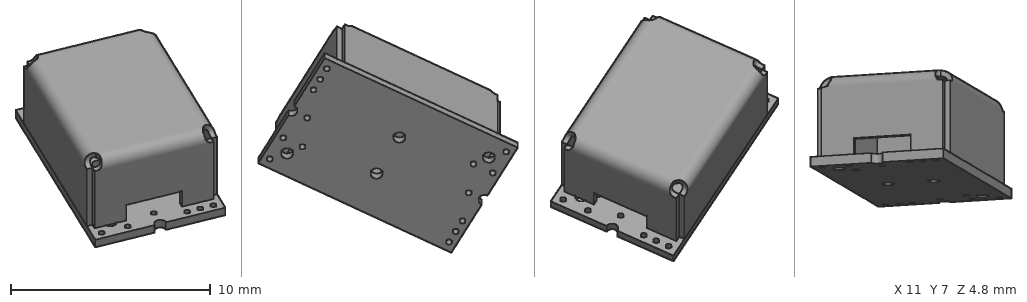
import cadquery as cq

BOARD_LENGTH = 11.0
BOARD_WIDTH = 7.0
BOARD_THICKNESS = 0.5
EDGE_NOTCH_DIAMETER = 0.6

HOLE_DIAMETER = 0.3
HOLE_END_MARGIN = 0.4
HOLE_SIDE_MARGIN = 0.5
HOLE_PITCH = 0.7
VIA_END_MARGIN = 0.9
INNER_HOLE_END_MARGIN = 1.5
LARGE_HOLE_DIAMETER = 0.6
LARGE_HOLE_END_MARGIN = 1.0
MIDDLE_HOLE_OFFSET = 1.2

TOTAL_HEIGHT = 4.8
COVER_LENGTH = 9.3
SHEET = 0.3
BEND_RADIUS = 0.6
WINDOW_WIDTH = 3.0
WINDOW_HEIGHT = 1.0

RELIEF_INSET = 0.22
RELIEF_HALF_LENGTH = 0.53
RELIEF_RISE_SLOPE = 0.12
RELIEF_HALF_SLOPE = 1.3

cover_height = TOTAL_HEIGHT - BOARD_THICKNESS
half_board_length = BOARD_LENGTH / 2
half_cover_length = COVER_LENGTH / 2
half_width = BOARD_WIDTH / 2


def make_board():
    board = cq.Workplane("XY").box(BOARD_LENGTH, BOARD_WIDTH, BOARD_THICKNESS, centered=(True, True, False))

    notch_places = [(-half_board_length, 0), (half_board_length, 0)]
    notches = cq.Workplane("XY").pushPoints(notch_places).circle(EDGE_NOTCH_DIAMETER / 2)
    board = board.cut(notches.extrude(BOARD_THICKNESS))

    row_x = HOLE_END_MARGIN - half_board_length
    first_y, middle_y, last_y = [half_width - HOLE_SIDE_MARGIN - i * HOLE_PITCH for i in range(3)]
    small_places = [(row_x, y) for y in (first_y, last_y, -first_y, -middle_y, -last_y)]
    small_places.append((VIA_END_MARGIN - half_board_length, 0))
    small_places.append((INNER_HOLE_END_MARGIN - half_board_length, last_y))
    large_places = [(LARGE_HOLE_END_MARGIN - half_board_length, middle_y), (0, MIDDLE_HOLE_OFFSET)]

    for places, diameter in ((small_places, HOLE_DIAMETER), (large_places, LARGE_HOLE_DIAMETER)):
        turned_places = [(-x, -y) for x, y in places]
        holes = cq.Workplane("XY").pushPoints(places + turned_places).circle(diameter / 2)
        board = board.cut(holes.extrude(BOARD_THICKNESS))
    return board


def rounded_block(length, width, height, radius):
    """Block standing on the board with its four top edges rounded."""
    block = cq.Workplane("XY").workplane(offset=BOARD_THICKNESS)
    block = block.box(length, width, height, centered=(True, True, False))
    return block.faces(">Z").edges().fillet(radius)


def bend_relief():
    """Cut through the end of the -Y bend, at the (-X, -Y) corner of the cover."""
    bend_axis_y = BEND_RADIUS - half_width
    bend_axis_z = TOTAL_HEIGHT - BEND_RADIUS
    middle_of_bend = cq.Plane(
        origin=(RELIEF_INSET - half_cover_length, bend_axis_y, bend_axis_z),
        xDir=(1, 0, 0),
        normal=(0, -1, 1),
    )

    near_distance = (BEND_RADIUS - SHEET) / 2
    far_distance = 2 * BEND_RADIUS
    ovals = []
    for distance in (near_distance, far_distance):
        oval = cq.Workplane(middle_of_bend).workplane(offset=distance)
        oval = oval.center(0, RELIEF_RISE_SLOPE * distance)
        oval = oval.ellipse(RELIEF_HALF_LENGTH, RELIEF_HALF_SLOPE * distance, rotation_angle=180)
        ovals.append(oval.wire().val())
    wedge = cq.Workplane(cq.Solid.makeLoft(ovals, True))

    bend_zone = cq.Workplane("XY").box(BOARD_LENGTH, BEND_RADIUS, BEND_RADIUS, centered=(True, False, False))
    return wedge.intersect(bend_zone.translate((0, -half_width, bend_axis_z)))


def corner_cut():
    """Square gap between the walls and the reliefs of both bends, at the (-X, -Y) corner."""
    gap = cq.Workplane("XY").box(SHEET, SHEET, TOTAL_HEIGHT, centered=False)
    gap = gap.translate((-half_cover_length, -half_width, 0))
    front_relief = bend_relief()
    corner = cq.Vector(-half_cover_length, -half_width, 0)
    end_relief = front_relief.val().mirror(cq.Vector(1, -1, 0), corner)
    return gap.union(front_relief).union(cq.Workplane(end_relief))


def make_cover():
    cover = rounded_block(COVER_LENGTH, BOARD_WIDTH, cover_height, BEND_RADIUS)
    cavity = rounded_block(
        COVER_LENGTH - 2 * SHEET,
        BOARD_WIDTH - 2 * SHEET,
        cover_height - SHEET,
        BEND_RADIUS - SHEET,
    )
    cover = cover.cut(cavity)

    window = cq.Workplane("XY").box(COVER_LENGTH, WINDOW_WIDTH, WINDOW_HEIGHT, centered=(True, True, False))
    cover = cover.cut(window.translate((0, 0, BOARD_THICKNESS)))

    near_left = corner_cut()
    near_right = near_left.mirror("YZ")
    for corner in (near_left, near_right):
        cover = cover.cut(corner).cut(corner.mirror("XZ"))
    return cover


board = make_board()
cover = make_cover()

result = cq.Compound.makeCompound([board.solids().val(), cover.solids().val()])